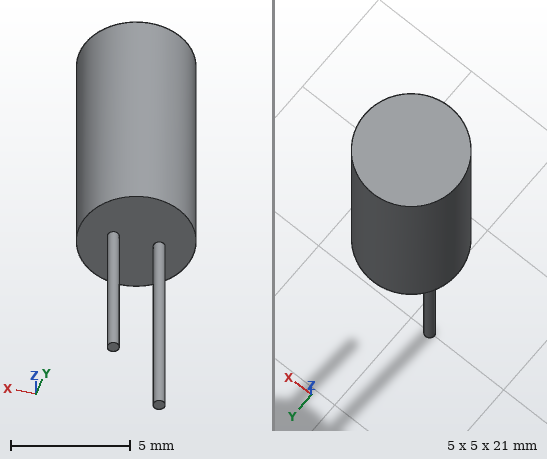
import cadquery as cq

total_height = 21.0
can_diameter = 5.0
can_height = 11.0
lead_diameter = 0.5
lead_pitch = 2.0
short_lead_length = 7.0

long_lead_length = total_height - can_height


def make_can():
    """Plain cylindrical can standing on the XY plane."""
    return cq.Workplane("XY").circle(can_diameter / 2).extrude(can_height)


def make_lead(x, length):
    """Round wire lead hanging down from the underside of the can."""
    return cq.Workplane("XY").center(x, 0).circle(lead_diameter / 2).extrude(-length)


can = make_can()

lead_layout = [
    (-lead_pitch / 2, long_lead_length),
    (lead_pitch / 2, short_lead_length),
]
leads = [make_lead(x, length) for x, length in lead_layout]

result = cq.Compound.makeCompound([can.val(), *[lead.val() for lead in leads]])